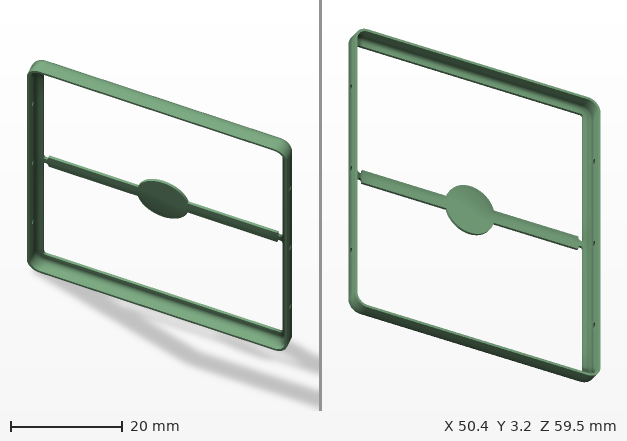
import cadquery as cq

WIDTH = 50.4
DEPTH = 3.2
HEIGHT = 59.5
CORNER_RADIUS = 2.6
BACK_EDGE_RADIUS = 1.0
WALL = 0.5

BORDER = 2.0
WINDOW_CORNER_RADIUS = 0.5
WINDOW_WIDTH = WIDTH - 2 * BORDER
WINDOW_HEIGHT = HEIGHT - 2 * BORDER

BAR_HEIGHT = 2.7
DISC_RADIUS = 5.0
NOTCH_RADIUS = 0.5
NOTCH_OFFSET_Z = 1.1

SIDE_HOLE_DIAMETER = 1.0
SIDE_HOLE_SPACING = 17.5

FRONT_Y = -DEPTH / 2
BACK_Y = DEPTH / 2
FLOOR_Y = BACK_Y - WALL


def rounded_block(width, height, front_y, back_y, corner_radius):
    """Block between two Y planes, with its four Y-parallel edges rounded."""
    return (
        cq.Workplane("XY")
        .box(width, back_y - front_y, height)
        .translate((0, (front_y + back_y) / 2, 0))
        .edges("|Y")
        .fillet(corner_radius)
    )


def make_tray():
    """Shell of uniform thickness with a rounded back edge inside and out."""
    outer = rounded_block(WIDTH, HEIGHT, FRONT_Y, BACK_Y, CORNER_RADIUS)
    outer = outer.faces(">Y").edges().fillet(BACK_EDGE_RADIUS)
    cavity = rounded_block(
        WIDTH - 2 * WALL, HEIGHT - 2 * WALL, FRONT_Y, FLOOR_Y, CORNER_RADIUS - WALL
    )
    cavity = cavity.faces(">Y").edges().fillet(BACK_EDGE_RADIUS - WALL)
    return outer.cut(cavity)


def back_cylinder(x, z, radius):
    """Disc along Y filling the thickness of the back."""
    return cq.Workplane("XZ", origin=(x, BACK_Y, z)).circle(radius).extrude(WALL)


def make_crossbar():
    """Bar spanning the window, necked at both ends, with a disc at its middle."""
    bar = cq.Workplane("XY").box(WINDOW_WIDTH, WALL, BAR_HEIGHT)
    bar = bar.translate((0, (FLOOR_Y + BACK_Y) / 2, 0))
    notch_x = WINDOW_WIDTH / 2 - NOTCH_RADIUS
    slot_height = BAR_HEIGHT / 2
    for side in (-1, 1):
        for level in (-1, 1):
            x = side * notch_x
            z = level * NOTCH_OFFSET_Z
            slot = cq.Workplane("XY").box(2 * NOTCH_RADIUS, WALL, slot_height)
            slot = slot.translate((x, (FLOOR_Y + BACK_Y) / 2, z + level * slot_height / 2))
            bar = bar.cut(back_cylinder(x, z, NOTCH_RADIUS)).cut(slot)
    return bar.union(back_cylinder(0, 0, DISC_RADIUS))


def make_side_holes():
    """Three holes running along X through both side walls."""
    return (
        cq.Workplane("YZ", origin=(-WIDTH / 2, 0, 0))
        .pushPoints([(0, step * SIDE_HOLE_SPACING) for step in (-1, 0, 1)])
        .circle(SIDE_HOLE_DIAMETER / 2)
        .extrude(WIDTH)
    )


window = rounded_block(WINDOW_WIDTH, WINDOW_HEIGHT, FRONT_Y, BACK_Y, WINDOW_CORNER_RADIUS)
frame = make_tray().cut(window).cut(make_side_holes())
result = frame.union(make_crossbar())